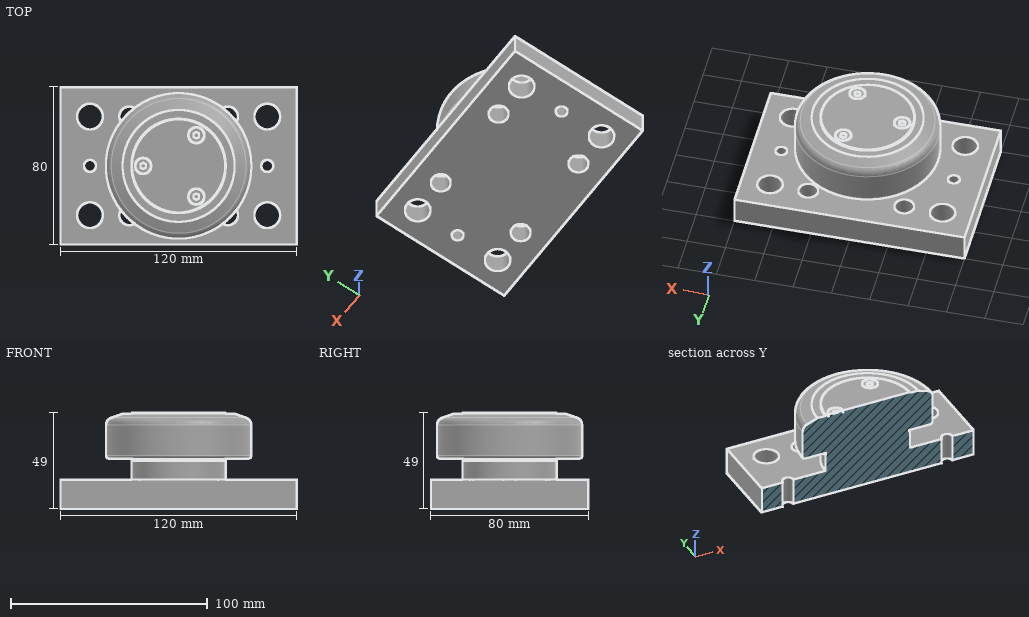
import cadquery as cq
import math

plate_length = 120.0
plate_width = 80.0
plate_thickness = 15.0
hole_spacing_y = 50.0
corner_hole_diameter = 13.0
corner_hole_spacing = 90.0
inner_hole_diameter = 10.1
inner_hole_spacing = 50.0
dowel_hole_diameter = 6.0

total_height = 49.0
axle_diameter = 48.0
axle_edge_drop = 0.7
axle_edge_inset = 0.4
axle_neck_height = 0.4
roller_diameter = 73.9
roller_bottom = 25.5
roller_top_fillet = 4.1
roller_bottom_fillet = 1.7
roller_face_diameter = 56.9
roller_cone_angle = 19.5
cap_rise = 0.5
cap_chamfer = 0.4

screw_circle_radius = 18.0
screw_count = 3
first_screw_angle = 60.0
counterbore_diameter = 8.3
screw_head_diameter = 7.8
gap_depth = 1.2
socket_flats = 2.9
socket_depth = 0.5


def make_plate():
    plate = cq.Workplane("XY").box(plate_length, plate_width, plate_thickness, centered=(True, True, False))
    hole_grids = (
        (corner_hole_spacing, corner_hole_diameter),
        (inner_hole_spacing, inner_hole_diameter),
    )
    top = plate.faces(">Z").workplane(origin=(0, 0, plate_thickness))
    for spacing, diameter in hole_grids:
        plate = plate.cut(
            top.rarray(spacing, hole_spacing_y, 2, 2).circle(diameter / 2).extrude(-plate_thickness, combine=False)
        )
    dowels = top.rarray(corner_hole_spacing, 1.2, 2, 1).circle(dowel_hole_diameter / 2)
    return plate.cut(dowels.extrude(-plate_thickness, combine=False))


def make_axle():
    """Short round axle with a bevelled shoulder just below the roller."""
    radius = axle_diameter / 2
    shoulder_radius = radius - axle_edge_inset
    shoulder_z = roller_bottom - axle_neck_height
    return (
        cq.Workplane("XZ")
        .moveTo(0, plate_thickness)
        .lineTo(radius, plate_thickness)
        .lineTo(radius, shoulder_z - axle_edge_drop)
        .lineTo(shoulder_radius, shoulder_z)
        .lineTo(shoulder_radius, roller_bottom)
        .lineTo(0, roller_bottom)
        .close()
        .revolve(360, (0, 0, 0), (0, 1, 0))
    )


def make_roller():
    """Roller with a conical upper shoulder blended into its rim."""
    rim_radius = roller_diameter / 2
    face_radius = roller_face_diameter / 2
    face_z = total_height - cap_rise
    cone_drop = (rim_radius - face_radius) * math.tan(math.radians(roller_cone_angle))
    rim_top = face_z - cone_drop
    roller = (
        cq.Workplane("XZ")
        .moveTo(0, roller_bottom)
        .lineTo(rim_radius, roller_bottom)
        .lineTo(rim_radius, rim_top)
        .lineTo(face_radius, face_z)
        .lineTo(0, face_z)
        .close()
        .revolve(360, (0, 0, 0), (0, 1, 0))
    )
    roller = roller.faces("%CYLINDER").edges(">Z").fillet(roller_top_fillet)
    return roller.edges("<Z").fillet(roller_bottom_fillet)


def make_cap():
    cap = cq.Workplane("XY", origin=(0, 0, total_height - cap_rise)).circle(axle_diameter / 2).extrude(cap_rise)
    return cap.faces(">Z").chamfer(cap_chamfer)


def screw_cuts():
    """Annular gap around each screw head and the hexagonal socket within it."""
    top = cq.Workplane("XY", origin=(0, 0, total_height)).polarArray(
        screw_circle_radius, first_screw_angle, 360, screw_count, rotate=False
    )
    gaps = top.circle(counterbore_diameter / 2).circle(screw_head_diameter / 2).extrude(-gap_depth)
    sockets = top.polygon(6, socket_flats, circumscribed=True).extrude(-socket_depth)
    return gaps.union(sockets)


result = make_plate().union(make_axle()).union(make_roller()).union(make_cap()).cut(screw_cuts())